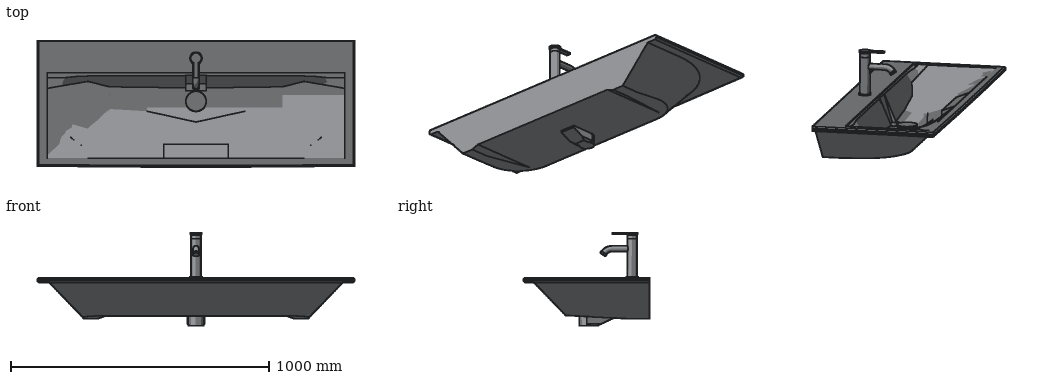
import cadquery as cq
import math


RIM_LENGTH = 1230.0
RIM_DEPTH = 490.0
RIM_THICKNESS = 20.0
FRONT_BOW = 4.0
RIM_TOP_CHAMFER = 6.0
RIM_BOTTOM_CHAMFER = 7.0

SHELL_HALF_LENGTH = 568.0
SHELL_DEPTH = 448.0
SHELL_CORNER_RADIUS = 267.0
SHELL_TAPER = 44.0
BASIN_BOTTOM = -160.0
BASIN_FRONT_Y = -331.0
BASIN_FRONT_BOTTOM = -146.0
LEVEL_FOOT_DEPTH = 81.0
FOOT_INNER = 381.0
RAISED_HALF_LENGTH = 350.0
RAISED_BOTTOM = -149.0

BOWL_HALF_LENGTH = 577.0
BOWL_BACK = -134.0
BOWL_FRONT = -455.0
BACK_STEP_WIDTH = 10.0
BACK_STEP_DEPTH = 4.0

STRIP_BACK = -210.0
STRIP_FRONT = -260.0

BOWL_SECTIONS = [
    (0.0, (-182.0, -113.0), -118.0, -118.0, (-315.0, -110.0), (-338.0, -86.0), (-376.0, -64.0)),
    (190.0, (-181.0, -97.0), -106.0, -107.0, (-273.0, -106.0), (-336.0, -84.0), (-376.0, -62.0)),
    (336.0, (-178.0, -71.0), -82.0, -85.0, (-265.0, -85.0), (-269.0, -84.0), (-360.0, -54.0)),
    (418.0, (-157.0, -37.0), -49.0, -50.0, (-265.0, -50.0), (-269.0, -50.0), (-341.0, -42.0)),
    (BOWL_HALF_LENGTH, (-185.0, -1.0), -1.0, -1.0, (-265.0, -1.0), (-269.0, -1.0), (-295.0, -1.0)),
]

PAD_HALF_LENGTH = 124.0
PAD_EDGE_Y = -401.0
PAD_EDGE_Z = -22.0
PAD_FOOT_Z = -55.0
PAD_RIM_THICKNESS = 12.0

CHANNEL_HALF_WIDTH = 39.0
CHANNEL_TOP = -4.0
CHANNEL_FRONT = -194.0
CHANNEL_INSET = 15.0
CHANNEL_BOTTOM = -118.0

CAP_Y = -235.0
CAP_RADIUS = 39.0
CAP_TOP = -111.0
CAP_THICKNESS = 7.0
CUP_Y = -244.0
CUP_RADIUS = 30.0
DRAIN_BOTTOM = -187.0
DUCT_HALF_WIDTH = 33.0
DUCT_BACK = -138.0
DUCT_BACK_BOTTOM = -156.0
DUCT_CHAMFER = 9.0
DUCT_FLOOR_BACK = -203.0

TAP_Y = -68.0
FLANGE_RADIUS = 23.0
FLANGE_THICKNESS = 4.0
COLUMN_RADIUS = 20.0
COLUMN_TOP = 150.0
HEAD_TOP = 165.0
NECK_RADIUS = 17.0
NECK_TOP = 169.0
HANDLE_RADIUS = 22.0
TAP_TOP = 173.0
LEVER_WIDTH = 18.0
LEVER_TIP = -144.0
SPOUT_RADIUS = 11.7
SPOUT_Z = 112.0
SPOUT_BEND_START = -146.0
SPOUT_BEND_RADIUS = 37.0
SPOUT_BEND_ANGLE = 55.0
AERATOR_RADIUS = 12.0
AERATOR_LENGTH = 9.0


def disc(radius, y, bottom, top):
    return cq.Workplane("XY", origin=(0, y, bottom)).circle(radius).extrude(top - bottom)


def prism(points, half_width):
    """A (y, z) outline extruded to both sides of X = 0."""
    return cq.Workplane("YZ").polyline(points).close().extrude(half_width, both=True)


def rim_slab():
    half = RIM_LENGTH / 2
    corner_y = FRONT_BOW - RIM_DEPTH
    slab = (
        cq.Workplane("XY")
        .moveTo(-half, 0)
        .lineTo(-half, corner_y)
        .threePointArc((0, -RIM_DEPTH), (half, corner_y))
        .lineTo(half, 0)
        .close()
        .extrude(-RIM_THICKNESS)
    )
    slab = slab.faces(">Z").edges("not >Y").chamfer(RIM_TOP_CHAMFER)
    return slab.faces("<Z").edges("not >Y").chamfer(RIM_BOTTOM_CHAMFER)


def shell():
    """Tapered underside: flush at the back, sloping in at the sides and front."""
    height = -RIM_THICKNESS - BASIN_BOTTOM
    outline = cq.Sketch().rect(2 * SHELL_HALF_LENGTH, 2 * SHELL_DEPTH)
    outline = outline.vertices().fillet(SHELL_CORNER_RADIUS)
    body = (
        cq.Workplane("XY", origin=(0, 0, -RIM_THICKNESS))
        .placeSketch(outline)
        .extrude(-height, taper=SHELL_TAPER)
    )
    side_profile = [
        (0, 0),
        (0, BASIN_BOTTOM),
        (-LEVEL_FOOT_DEPTH, BASIN_BOTTOM),
        (BASIN_FRONT_Y, BASIN_FRONT_BOTTOM),
        (-SHELL_DEPTH, BASIN_FRONT_BOTTOM),
        (-SHELL_DEPTH, 0),
    ]
    return body.intersect(prism(side_profile, SHELL_HALF_LENGTH))


def raised_bottom():
    """Relief between the two feet of the underside."""
    outline = [
        (-FOOT_INNER, BASIN_BOTTOM),
        (-RAISED_HALF_LENGTH, RAISED_BOTTOM),
        (RAISED_HALF_LENGTH, RAISED_BOTTOM),
        (FOOT_INNER, BASIN_BOTTOM),
    ]
    return cq.Workplane("XZ").polyline(outline).close().extrude(RIM_DEPTH)


def bowl():
    """Hollow of the bowl: one half lofted through its sections, then mirrored."""
    wires = []
    for x, back_foot, strip_back_z, strip_front_z, *front_folds in BOWL_SECTIONS:
        outline = [
            (BOWL_BACK, 0),
            back_foot,
            (STRIP_BACK, strip_back_z),
            (STRIP_FRONT, strip_front_z),
            *front_folds,
            (BOWL_FRONT, 0),
        ]
        wires.append(cq.Wire.makePolygon([cq.Vector(x, y, z) for y, z in outline], close=True))
    half = cq.Workplane(cq.Solid.makeLoft(wires, True))
    return half.union(half.mirror("YZ"))


def back_step():
    return (
        cq.Workplane("XY", origin=(0, BOWL_BACK, -BACK_STEP_DEPTH))
        .rect(2 * BOWL_HALF_LENGTH, 2 * BACK_STEP_WIDTH)
        .extrude(BACK_STEP_DEPTH)
    )


def overflow_channel():
    """Groove down the middle of the back wall, set behind the wall and ending on the floor."""
    wall_foot_y, wall_foot_z = BOWL_SECTIONS[0][1]
    side_profile = [
        (BOWL_BACK, CHANNEL_TOP),
        (wall_foot_y + CHANNEL_INSET, wall_foot_z),
        (CHANNEL_FRONT, CHANNEL_BOTTOM),
        (CHANNEL_FRONT, CHANNEL_TOP),
    ]
    return prism(side_profile, CHANNEL_HALF_WIDTH)


def front_pad():
    side_profile = [
        (BOWL_FRONT, 0),
        (PAD_EDGE_Y, PAD_EDGE_Z),
        (PAD_EDGE_Y, PAD_FOOT_Z),
        (BOWL_FRONT, -PAD_RIM_THICKNESS),
    ]
    return prism(side_profile, PAD_HALF_LENGTH)


def make_basin(drain_body, drain_cap):
    basin = rim_slab().union(shell()).cut(raised_bottom())
    basin = basin.cut(bowl()).cut(back_step()).cut(overflow_channel())
    basin = basin.union(front_pad())
    return basin.cut(drain_body).cut(drain_cap)


def make_drain_cap():
    return disc(CAP_RADIUS, CAP_Y, CAP_TOP - CAP_THICKNESS, CAP_TOP)


def make_drain_body():
    """Drain cup with the overflow duct that runs into it from the back."""
    cup = disc(CUP_RADIUS, CUP_Y, DRAIN_BOTTOM, CAP_TOP - CAP_THICKNESS)
    duct = prism(
        [
            (DUCT_BACK, RAISED_BOTTOM),
            (DUCT_BACK, DUCT_BACK_BOTTOM),
            (DUCT_FLOOR_BACK, DRAIN_BOTTOM),
            (CUP_Y, DRAIN_BOTTOM),
            (CUP_Y, RAISED_BOTTOM),
        ],
        DUCT_HALF_WIDTH,
    )
    duct = duct.faces("<Z").edges("|Y").chamfer(DUCT_CHAMFER)
    return cup.union(duct)


def make_flange():
    return disc(FLANGE_RADIUS, TAP_Y, 0, FLANGE_THICKNESS)


def make_column():
    return disc(COLUMN_RADIUS, TAP_Y, FLANGE_THICKNESS, COLUMN_TOP)


def make_head():
    return disc(COLUMN_RADIUS, TAP_Y, COLUMN_TOP, HEAD_TOP)


def make_neck():
    return disc(NECK_RADIUS, TAP_Y, HEAD_TOP, NECK_TOP)


def make_handle():
    lever = (
        cq.Workplane("XY", origin=(0, 0, NECK_TOP))
        .moveTo(-LEVER_WIDTH / 2, TAP_Y)
        .lineTo(-LEVER_WIDTH / 2, LEVER_TIP)
        .lineTo(LEVER_WIDTH / 2, LEVER_TIP)
        .lineTo(LEVER_WIDTH / 2, TAP_Y)
        .close()
        .extrude(TAP_TOP - NECK_TOP)
    )
    return disc(HANDLE_RADIUS, TAP_Y, NECK_TOP, TAP_TOP).union(lever)


def bend_point(angle):
    """(y, z) on the spout centre line after it has turned down by `angle` degrees."""
    turn = math.radians(angle)
    return (
        SPOUT_BEND_START - SPOUT_BEND_RADIUS * math.sin(turn),
        SPOUT_Z - SPOUT_BEND_RADIUS * (1 - math.cos(turn)),
    )


def make_spout(column):
    path = (
        cq.Workplane("YZ")
        .moveTo(TAP_Y, SPOUT_Z)
        .lineTo(SPOUT_BEND_START, SPOUT_Z)
        .threePointArc(bend_point(SPOUT_BEND_ANGLE / 2), bend_point(SPOUT_BEND_ANGLE))
    )
    tube = cq.Workplane("XZ", origin=(0, TAP_Y, SPOUT_Z)).circle(SPOUT_RADIUS).sweep(path)
    return tube.cut(column)


def make_aerator():
    y, z = bend_point(SPOUT_BEND_ANGLE)
    turn = math.radians(SPOUT_BEND_ANGLE)
    mouth = cq.Plane(origin=(0, y, z), xDir=(1, 0, 0), normal=(0, -math.cos(turn), -math.sin(turn)))
    return cq.Workplane(mouth).circle(AERATOR_RADIUS).extrude(AERATOR_LENGTH)


drain_cap = make_drain_cap()
drain_body = make_drain_body()
basin = make_basin(drain_body, drain_cap)
flange = make_flange()
column = make_column()
head = make_head()
neck = make_neck()
handle = make_handle()
spout = make_spout(column)
aerator = make_aerator()

bodies = [basin, drain_cap, drain_body, flange, column, head, neck, handle, spout, aerator]
result = cq.Compound.makeCompound([body.val() for body in bodies])